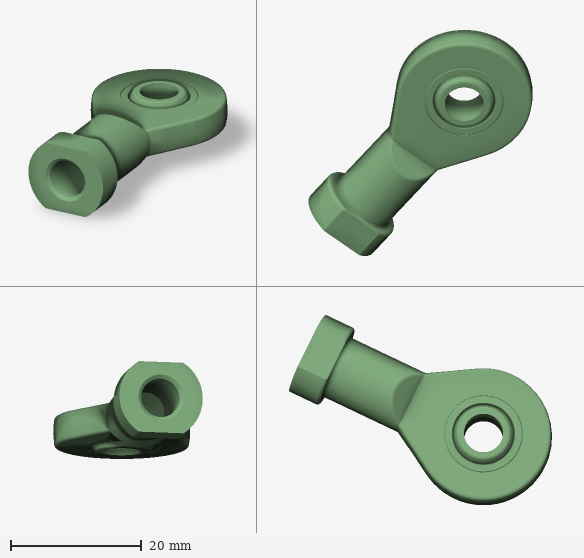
import cadquery as cq
import math


total_length = 40.45
head_width = 21.0
head_radius = head_width / 2
head_thickness = 4.53
half_thickness = head_thickness / 2
neck_half_angle = math.radians(30.4)
slope_start_y = -12.25
slope_angle = math.radians(45)
shank_radius = 10.0 / 2
edge_fillet = 0.5

collar_radius = 6.5
collar_length = 5.0
collar_fillet = 0.5
shank_fillet = 0.4
flats_width = 11.0
flat_edge_fillet = 0.15

bore_diameter = 6.0
bore_mouth_diameter = 7.05
bore_depth = 12.13
bore_end_diameter = 2.15
drill_half_angle = math.radians(59)

liner_diameter = 12.0
liner_chamfer = 0.15
liner_mouth_radius = 4.85
liner_mouth_inner_radius = 4.65
ball_diameter = 10.0
ball_radius = ball_diameter / 2
ball_width = 6.0
ball_bore_diameter = 6.0
ball_chamfer = 0.15

shank_end_y = head_radius - total_length
collar_top_y = shank_end_y + collar_length
tangent_x = head_radius * math.cos(neck_half_angle)
tangent_y = -head_radius * math.sin(neck_half_angle)
neck_y = tangent_y - (tangent_x - shank_radius) / math.tan(neck_half_angle)

turning_axis_start = (0, 0, 0)
turning_axis_end = (0, 1, 0)


def make_head_and_shank():
    """Sphere, tangent cone and shank turned about Y, with the head cut flat on both faces."""
    fillet_middle = shank_fillet * (1 - math.sqrt(0.5))
    body = (
        cq.Workplane("XY")
        .moveTo(0, head_radius)
        .threePointArc((head_radius, 0), (tangent_x, tangent_y))
        .lineTo(shank_radius, neck_y)
        .lineTo(shank_radius, collar_top_y + shank_fillet)
        .threePointArc(
            (shank_radius + fillet_middle, collar_top_y + fillet_middle),
            (shank_radius + shank_fillet, collar_top_y),
        )
        .lineTo(0, collar_top_y)
        .close()
        .revolve(360, turning_axis_start, turning_axis_end)
    )
    clear_z = head_radius
    clear_y = slope_start_y - (clear_z - half_thickness) / math.tan(slope_angle)
    slab = (
        cq.Workplane("YZ")
        .moveTo(head_radius, half_thickness)
        .lineTo(slope_start_y, half_thickness)
        .lineTo(clear_y, clear_z)
        .lineTo(collar_top_y, clear_z)
        .lineTo(collar_top_y, -clear_z)
        .lineTo(clear_y, -clear_z)
        .lineTo(slope_start_y, -half_thickness)
        .lineTo(head_radius, -half_thickness)
        .close()
        .extrude(head_radius, both=True)
    )
    return round_flat_edges(body.intersect(slab))


def round_flat_edges(body):
    """Round the borders of the head faces and slopes, but not the lines where they meet."""
    flat_faces = [
        face for face in body.faces("%PLANE").vals() if abs(face.normalAt().z) > math.sin(slope_angle) / 2
    ]
    borders = [edge for face in flat_faces for edge in face.Edges() if not is_cross_line(edge)]
    return body.newObject(borders).fillet(edge_fillet)


def is_cross_line(edge):
    """True for a straight edge that runs along X."""
    return edge.geomType() == "LINE" and abs(edge.tangentAt(0).x) > math.cos(neck_half_angle)


def make_collar():
    collar = (
        cq.Workplane("XZ", origin=(0, collar_top_y, 0))
        .circle(collar_radius)
        .extrude(collar_length)
        .faces(">Y")
        .edges()
        .fillet(collar_fillet)
    )
    flats = cq.Workplane("XY").box(2 * collar_radius, 2 * total_length, flats_width)
    collar = collar.intersect(flats)
    flat_top_edges = collar.faces("|Z").edges(">Y")
    return flat_top_edges.fillet(flat_edge_fillet)


def make_shank_bore():
    """Blind bore with a 45 degree mouth and a truncated drill-point end."""
    bore_radius = bore_diameter / 2
    mouth_radius = bore_mouth_diameter / 2
    end_radius = bore_end_diameter / 2
    bore_end_y = shank_end_y + bore_depth
    point_y = bore_end_y + (bore_radius - end_radius) / math.tan(drill_half_angle)
    return (
        cq.Workplane("XY")
        .moveTo(0, shank_end_y)
        .lineTo(mouth_radius, shank_end_y)
        .lineTo(bore_radius, shank_end_y + mouth_radius - bore_radius)
        .lineTo(bore_radius, bore_end_y)
        .lineTo(end_radius, point_y)
        .lineTo(0, point_y)
        .close()
        .revolve(360, turning_axis_start, turning_axis_end)
    )


def make_disc(diameter, height):
    return cq.Workplane("XY").circle(diameter / 2).extrude(height / 2, both=True)


def make_housing():
    body = make_head_and_shank().union(make_collar())
    return body.cut(make_shank_bore()).cut(make_disc(liner_diameter, head_thickness))


def make_liner():
    """Ring in the head with a spherical seat that flares at both mouths."""
    seat_z = math.sqrt(ball_radius**2 - liner_mouth_inner_radius**2)
    rim_radius = liner_diameter / 2
    rim_z = half_thickness - liner_chamfer
    return (
        cq.Workplane("XZ")
        .moveTo(liner_mouth_inner_radius, seat_z)
        .lineTo(liner_mouth_radius, half_thickness)
        .lineTo(rim_radius - liner_chamfer, half_thickness)
        .lineTo(rim_radius, rim_z)
        .lineTo(rim_radius, -rim_z)
        .lineTo(rim_radius - liner_chamfer, -half_thickness)
        .lineTo(liner_mouth_radius, -half_thickness)
        .lineTo(liner_mouth_inner_radius, -seat_z)
        .threePointArc((ball_radius, 0), (liner_mouth_inner_radius, seat_z))
        .close()
        .revolve(360, turning_axis_start, turning_axis_end)
    )


def make_ball():
    """Sphere cut flat at both ends and bored through along Z."""
    ball = cq.Workplane("XY").sphere(ball_radius).intersect(make_disc(ball_diameter, ball_width))
    ball = ball.faces("|Z").edges().chamfer(ball_chamfer)
    return ball.cut(make_disc(ball_bore_diameter, ball_width))


housing = make_housing()
liner = make_liner()
ball = make_ball()

result = cq.Compound.makeCompound([housing.val(), liner.val(), ball.val()])